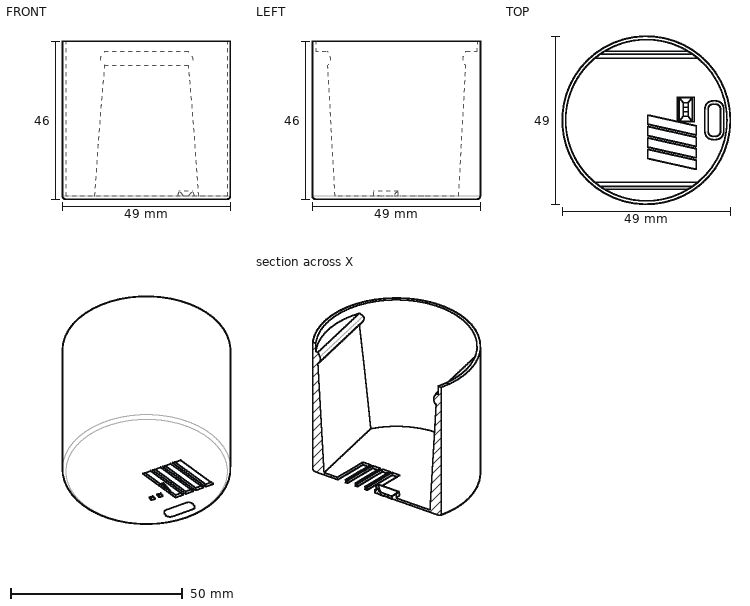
import cadquery as cq

outer_diameter = 49.0
inner_diameter = 47.0
cup_height = 46.0
floor_thickness = 1.0
bottom_fillet = 1.0

ledge_drop = 2.95
ledge_top_z = cup_height - ledge_drop
ledge_foot_y = 18.0
ledge_neck_y = 20.1
bead_bevel_y = 19.45
bead_bevel_height = 1.25
bead_bevel_z = ledge_top_z - bead_bevel_height
bead_middle_y = 19.25
bead_middle_depth = 2.45
bead_middle_z = ledge_top_z - bead_middle_depth
bead_height = 4.0
bead_bottom_z = ledge_top_z - bead_height

vent_count = 4
vent_left_x = 0.5
vent_right_x = 14.5
vent_top_y = 1.45
vent_width = 2.6
vent_pitch = 3.35
vent_drop = 3.15

slot_x = 19.8
slot_length = 9.3
slot_width = 3.55
slot_corner_radius = 1.35
slot_flare_angle = 45.0

block_x = 11.45
block_y = 3.15
block_height = 1.45
block_length = 7.1
block_base_width = 4.9
block_top_width = 3.9
funnel_top_width = 3.7
funnel_top_length = 6.95
funnel_bottom_width = 1.35
funnel_bottom_length = 3.8
bar_width = 1.35


def make_cup():
    body = cq.Workplane("XY").circle(outer_diameter / 2).extrude(cup_height)
    body = body.faces("<Z").edges().fillet(bottom_fillet)
    return body.cut(make_cavity())


def make_cavity():
    base = cq.Workplane("XY").workplane(offset=floor_thickness)
    return base.circle(inner_diameter / 2).extrude(cup_height - floor_thickness)


def make_ledge():
    """Ledge on the +Y side, trimmed to the round cavity."""
    half_length = outer_diameter / 2
    profile = (
        cq.Workplane("YZ")
        .moveTo(half_length, floor_thickness)
        .lineTo(ledge_foot_y, floor_thickness)
        .lineTo(ledge_neck_y, bead_bottom_z)
        .threePointArc((bead_middle_y, bead_middle_z), (bead_bevel_y, bead_bevel_z))
        .lineTo(ledge_neck_y, ledge_top_z)
        .lineTo(half_length, ledge_top_z)
        .close()
    )
    wall_middle = (outer_diameter + inner_diameter) / 4
    trim = cq.Workplane("XY").circle(wall_middle).extrude(cup_height)
    return profile.extrude(half_length, both=True).intersect(trim)


def make_vents():
    vents = cq.Workplane("XY")
    cut_height = floor_thickness + block_height
    for index in range(vent_count):
        left_y = vent_top_y - index * vent_pitch
        right_y = left_y - vent_drop
        vent = cq.Workplane("XY").polyline([
            (vent_left_x, left_y),
            (vent_right_x, right_y),
            (vent_right_x, right_y - vent_width),
            (vent_left_x, left_y - vent_width),
        ]).close().extrude(cut_height)
        vents = vents.add(vent)
    return vents.combine()


def make_cable_slot():
    outline = cq.Sketch().rect(slot_width, slot_length).vertices().fillet(slot_corner_radius)
    slot = cq.Workplane("XY").placeSketch(outline).extrude(floor_thickness, taper=-slot_flare_angle)
    return slot.translate((slot_x, 0, 0))


def make_frustum(bottom_size, top_size):
    """Rectangular frustum standing on the floor at the block's position."""
    return (
        cq.Workplane("XY", origin=(block_x, block_y, floor_thickness))
        .rect(*bottom_size)
        .workplane(offset=block_height)
        .rect(*top_size)
        .loft(ruled=True)
    )


def make_block():
    return make_frustum((block_base_width, block_length), (block_top_width, block_length))


def make_funnel():
    """Funnel through the block, continued by two straight openings through the floor."""
    opening_length = (funnel_bottom_length - bar_width) / 2
    opening_offset = (bar_width + opening_length) / 2
    funnel = make_frustum(
        (funnel_bottom_width, funnel_bottom_length),
        (funnel_top_width, funnel_top_length),
    )
    openings = (
        cq.Workplane("XY", origin=(block_x, block_y, 0))
        .pushPoints([(0, -opening_offset), (0, opening_offset)])
        .rect(funnel_bottom_width, opening_length)
        .extrude(floor_thickness)
    )
    return funnel.union(openings)


ledge = make_ledge()
result = (
    make_cup()
    .union(ledge)
    .union(ledge.mirror("XZ"))
    .union(make_block())
    .cut(make_funnel())
    .cut(make_vents())
    .cut(make_cable_slot())
)